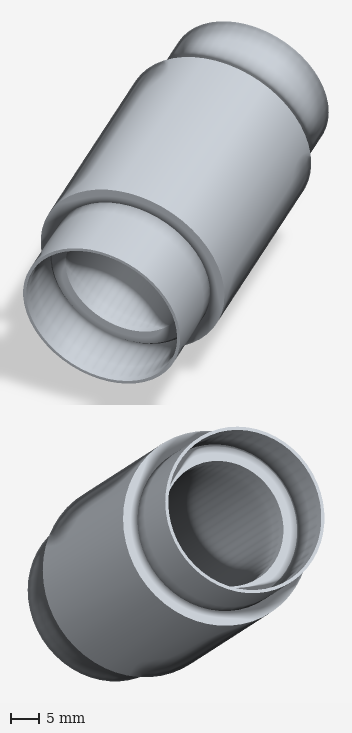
import cadquery as cq

total_length = 65.5
body_length = 38.3
body_diameter = 35.6
spigot_radius = 15.2
bore_radius = 11.5

undercut = 0.4

socket_radius = 14.6
socket_depth = 10.2
relief_width = 0.5
relief_depth = 0.5

body_radius = body_diameter / 2
half_length = total_length / 2
half_body = body_length / 2
seat_radius = socket_radius - relief_width
seat_position = half_length - socket_depth


def wall_outline(end):
    """Outer then inner wall points from the +Y end (end=1) or the -Y end (end=-1)."""
    outer = [
        (body_radius, end * half_body),
        (spigot_radius - undercut, end * half_body),
        (spigot_radius, end * (half_body + undercut)),
        (spigot_radius, end * half_length),
    ]
    inner = [
        (socket_radius, end * half_length),
        (socket_radius, end * (seat_position - relief_depth)),
        (seat_radius, end * seat_position),
        (bore_radius, end * seat_position),
    ]
    return outer + inner


section = wall_outline(1) + wall_outline(-1)[::-1]

result = cq.Workplane("XY").polyline(section).close().revolve(360, (0, 0, 0), (0, 1, 0))